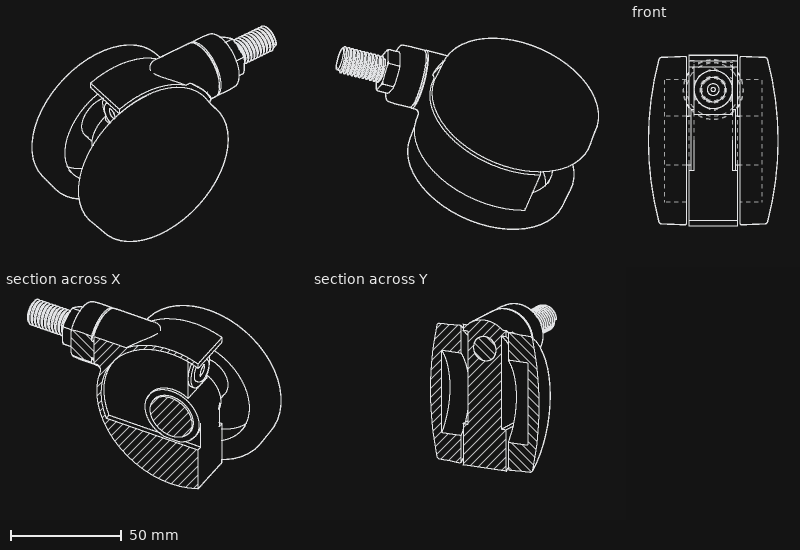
import cadquery as cq
import math


wheel_radius = 38.0
wheel_inner_x = 12.0
wheel_outer_x = 29.25
inner_edge_round = 0.8
shoulder_x = 23.0
shoulder_radius = 37.6
dome_edge_radius = 36.2
dome_edge_x = 24.6
shoulder_mid_radius = 37.2
shoulder_mid_x = 24.1
recess_radius = 27.6
recess_floor_x = 21.9
wheel_hub_radius = 11.0

housing_radius = 38.5
housing_half_width = 11.0
rim_wall = 2.5
rim_inner_radius = housing_radius - rim_wall
tube_root_radius = housing_radius - rim_wall / 2
web_half_width = 8.6
hub_radius = 14.0
hub_half_width = 10.0
front_y = -hub_radius
side_pocket_floor_z = -13.5
upper_web_front_y = -7.5
wheel_clearance_radius = 40.0

stem_z = 23.0
tube_radius = 13.5
tube_end_y = 40.0
tube_root_fillet = 2.0
boss_front_y = -9.0
shank_radius = 5.55

groove_width = 1.0
groove_radius = 12.0
collar_start_y = tube_end_y + groove_width
collar_start_radius = 13.35
collar_mid_radius = 13.5
collar_end_radius = 13.2
collar_round = 0.9
hex_start_y = 51.7
hex_height = 5.8
hex_across_flats = 17.0
hex_corner_radius = hex_across_flats / 2 / math.cos(math.pi / 6)
hex_face_radius = 9.1
hex_chamfer_angle = math.radians(30)
stem_end_y = 77.49

thread_radius = 6.0
thread_root_radius = 5.05
thread_pitch = 1.75
thread_turns = 11
thread_base_width = 1.3
thread_crest_width = 0.3
thread_embed = 0.15
thread_end_gap = 0.3

rivet_rim_radius = 4.1
rivet_rim_round = shank_radius - rivet_rim_radius
rivet_end_y = -11.0
rivet_floor_radius = 0.95
rivet_floor_depth = 2.5


def x_cylinder(radius, x_start, x_end):
    """Cylinder about the wheel axis."""
    return cq.Workplane("YZ").workplane(offset=x_start).circle(radius).extrude(x_end - x_start)


def stem_cylinder(radius, y_start, y_end):
    """Cylinder about the stem axis."""
    plane = cq.Plane(origin=(0, y_start, stem_z), xDir=(1, 0, 0), normal=(0, 1, 0))
    return cq.Workplane(plane).circle(radius).extrude(y_end - y_start)


def slab(x_range, y_range, z_range):
    """Axis-aligned block given by its limits."""
    sizes = [high - low for low, high in (x_range, y_range, z_range)]
    corner = (x_range[0], y_range[0], z_range[0])
    return cq.Workplane("XY").box(*sizes, centered=False).translate(corner)


def make_wheel(side):
    """Domed wheel with a recess and hub on its inner face; side is -1 or +1 along X."""
    profile = (
        cq.Workplane("XY")
        .moveTo(hub_half_width, 0)
        .lineTo(hub_half_width, wheel_hub_radius)
        .lineTo(recess_floor_x, wheel_hub_radius)
        .lineTo(recess_floor_x, recess_radius)
        .lineTo(wheel_inner_x, recess_radius)
        .lineTo(wheel_inner_x, wheel_radius - inner_edge_round)
        .radiusArc((wheel_inner_x + inner_edge_round, wheel_radius), inner_edge_round)
        .lineTo(shoulder_x, shoulder_radius)
        .threePointArc((shoulder_mid_x, shoulder_mid_radius), (dome_edge_x, dome_edge_radius))
    )
    dome_height = wheel_outer_x - dome_edge_x
    dome_sphere_radius = (dome_edge_radius**2 + dome_height**2) / (2 * dome_height)
    wheel = (
        profile.radiusArc((wheel_outer_x, 0), dome_sphere_radius)
        .close()
        .revolve(360, (0, 0, 0), (1, 0, 0))
    )
    return wheel if side > 0 else wheel.mirror("YZ")


def make_housing():
    """Drum with a central web, an axle hub, an outer rim wall and the stem tube."""
    width = (-housing_half_width, housing_half_width)
    everywhere = (-2 * housing_radius, 2 * housing_radius)
    drum = x_cylinder(housing_radius, *width)
    drum = drum.intersect(slab(width, (front_y, housing_radius), everywhere))

    hub = x_cylinder(hub_radius, -hub_half_width, hub_half_width)
    cavity = x_cylinder(rim_inner_radius, *width)
    above_floor = (side_pocket_floor_z, housing_radius)
    for x_range in ((-housing_half_width, -web_half_width), (web_half_width, housing_half_width)):
        drum = drum.cut(cavity.intersect(slab(x_range, everywhere, above_floor)).cut(hub))
    upper_front = slab(width, (front_y, upper_web_front_y), (0, housing_radius))
    drum = drum.cut(cavity.intersect(upper_front).cut(hub))

    boss = stem_cylinder(web_half_width, boss_front_y, upper_web_front_y)
    bore = stem_cylinder(shank_radius, boss_front_y, tube_end_y)
    return drum.union(make_tube()).union(boss).cut(bore)


def make_tube():
    """Stem tube outside the rim, filleted underneath and relieved beside the wheels."""
    half_width = 2 * tube_radius
    round_core = x_cylinder(housing_radius, -half_width, half_width)
    tube = stem_cylinder(tube_radius, 0, tube_end_y)

    below_axis = slab((-half_width, half_width), (0, tube_end_y), (0, stem_z))
    lower_half = round_core.union(tube).intersect(below_axis)
    root_edges = cq.selectors.BoxSelector(
        (-tube_radius, rim_inner_radius / 2, stem_z - 1.1 * tube_radius),
        (tube_radius, housing_radius, stem_z - tube_radius / 5),
    )
    lower_half = lower_half.edges(root_edges).fillet(tube_root_fillet)
    tube = tube.union(lower_half)

    tube = tube.cut(x_cylinder(tube_root_radius, -half_width, half_width))
    for side in (-1, 1):
        relief = x_cylinder(wheel_clearance_radius, side * housing_half_width, side * half_width)
        tube = tube.cut(relief)
    return tube


def make_thread():
    """Right-handed helical tooth about Z, cut off flat at z = 0."""
    length = thread_turns * thread_pitch
    inner = thread_root_radius - thread_embed
    path = cq.Wire.makeHelix(thread_pitch, length, inner)
    half_base = thread_base_width / 2
    half_crest = thread_crest_width / 2
    tooth = (
        cq.Workplane("XZ")
        .polyline([
            (inner, -half_base),
            (thread_radius, -half_crest),
            (thread_radius, half_crest),
            (inner, half_base),
        ])
        .close()
        .sweep(cq.Workplane(path), isFrenet=True)
        .translate((0, 0, -length - thread_end_gap))
    )
    beyond_end = cq.Workplane("XY").circle(2 * thread_radius).extrude(thread_pitch)
    return tooth.cut(beyond_end)


def make_stem():
    """Threaded stem with hexagon, collar, shank and a hollow riveted end."""
    rim_center_y = rivet_end_y + rivet_rim_round
    rivet_mouth_radius = rivet_rim_radius - rivet_rim_round
    rivet_floor_y = rivet_end_y + rivet_floor_depth
    body = (
        cq.Workplane("XY")
        .moveTo(0, rivet_floor_y)
        .lineTo(rivet_floor_radius, rivet_floor_y)
        .lineTo(rivet_mouth_radius, rim_center_y)
        .radiusArc((rivet_rim_radius, rivet_end_y), -rivet_rim_round)
        .radiusArc((shank_radius, rim_center_y), -rivet_rim_round)
        .lineTo(shank_radius, tube_end_y)
        .lineTo(groove_radius, tube_end_y)
        .lineTo(groove_radius, collar_start_y)
        .lineTo(collar_start_radius, collar_start_y)
        .threePointArc(
            (collar_mid_radius, (collar_start_y + hex_start_y) / 2),
            (collar_end_radius, hex_start_y - collar_round),
        )
        .radiusArc((collar_end_radius - collar_round, hex_start_y), -collar_round)
        .lineTo(thread_root_radius, hex_start_y)
        .lineTo(thread_root_radius, stem_end_y)
        .lineTo(0, stem_end_y)
        .close()
        .revolve(360, (0, 0, 0), (0, 1, 0))
        .translate((0, 0, stem_z))
    )
    hex_plane = cq.Plane(origin=(0, hex_start_y, stem_z), xDir=(0, 0, 1), normal=(0, 1, 0))
    hexagon = (
        cq.Workplane(hex_plane)
        .polygon(6, 2 * hex_corner_radius)
        .extrude(hex_height)
    )
    corner_cut = hex_corner_radius - hex_face_radius
    corner_drop = corner_cut * math.tan(hex_chamfer_angle)
    chamfered_round = (
        stem_cylinder(hex_corner_radius, hex_start_y, hex_start_y + hex_height)
        .faces("<Y or >Y")
        .chamfer(corner_drop, corner_cut)
    )
    hexagon = hexagon.intersect(chamfered_round)
    thread = make_thread().rotate((0, 0, 0), (1, 0, 0), -90).translate((0, stem_end_y, stem_z))
    return body.union(hexagon).union(thread)


housing = make_housing()
stem = make_stem()
wheels = [make_wheel(side) for side in (-1, 1)]

result = cq.Compound.makeCompound([housing.val(), stem.val(), *[wheel.val() for wheel in wheels]])